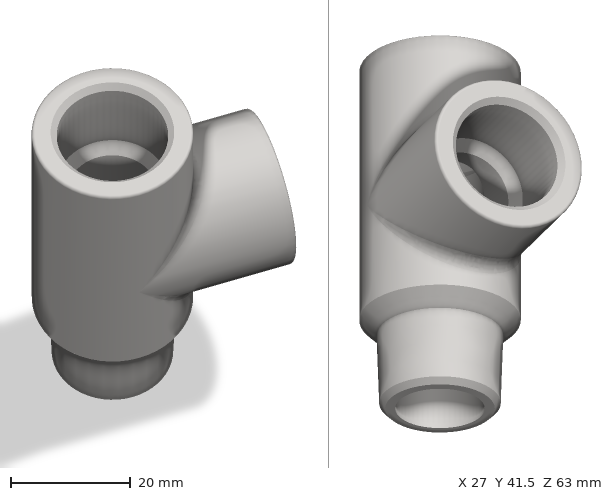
import cadquery as cq

height = 63.0
body_diameter = 27.0
arm_length = 28.0
rim_radius = 0.5
crotch_radius = 2.0

bore_diameter = 15.0
socket_diameter = 18.65
socket_depth = 15.0
mouth_diameter = 20.65

spigot_length = 13.55
spigot_root_diameter = 21.2
spigot_tip_diameter = 20.35
tip_chamfer = 1.0

body_radius = body_diameter / 2
bore_radius = bore_diameter / 2
socket_radius = socket_diameter / 2
mouth_radius = mouth_diameter / 2
spigot_root_radius = spigot_root_diameter / 2
spigot_tip_radius = spigot_tip_diameter / 2
branch_height = height - arm_length
shoulder_height = spigot_length + body_radius - spigot_root_radius

branch_plane = cq.Plane(origin=(0, 0, branch_height), xDir=(1, 0, 0), normal=(0, 1, 0))
run_plane = cq.Plane(origin=(0, 0, branch_height), xDir=(1, 0, 0), normal=(0, 0, 1))


def make_run():
    """Revolve the upright run: tapered male end, conical shoulder, plain body, rounded rim."""
    profile = [
        (0, 0),
        (spigot_tip_radius - tip_chamfer, 0),
        (spigot_tip_radius, tip_chamfer),
        (spigot_root_radius, spigot_length),
        (body_radius, shoulder_height),
        (body_radius, height),
        (0, height),
    ]
    run = cq.Workplane("XZ").polyline(profile).close().revolve(360, (0, 0), (0, 1))
    return run.faces(">Z").edges().fillet(rim_radius)


def make_half_branch():
    """Make the X > 0 half of the branch, filleted into a short piece of the run.

    The fillets shrink to a point on the flank of the tee, so each half is rounded on its own.
    """
    run_reach = branch_height - shoulder_height
    short_run = cq.Workplane(run_plane).circle(body_radius).extrude(run_reach, both=True)
    branch = cq.Workplane(branch_plane).circle(body_radius).extrude(arm_length)
    branch = branch.faces(">Y").edges().fillet(rim_radius)
    positive_x_side = cq.Workplane(run_plane).box(
        2 * body_diameter, 2 * height, 2 * height
    ).translate((body_diameter, 0, 0))
    half_branch = short_run.union(branch).intersect(positive_x_side)
    return half_branch.edges("%ELLIPSE").fillet(crotch_radius)


def make_branch():
    """Join the half branch to a copy of it turned half a revolution about the branch axis."""
    half_branch = make_half_branch()
    opposite_half = half_branch.rotate((0, 0, branch_height), (0, 1, branch_height), 180)
    return half_branch.union(opposite_half)


def make_socket(plane):
    """Revolve one arm's cavity: bore, 45 degree step, socket and bevelled mouth."""
    socket_floor = arm_length - socket_depth
    profile = [
        (0, 0),
        (bore_radius, 0),
        (bore_radius, socket_floor - (socket_radius - bore_radius)),
        (socket_radius, socket_floor),
        (socket_radius, arm_length - (mouth_radius - socket_radius)),
        (mouth_radius, arm_length),
        (0, arm_length),
    ]
    half_section = cq.Plane(origin=plane.origin, xDir=plane.xDir, normal=plane.xDir.cross(plane.zDir))
    return cq.Workplane(half_section).polyline(profile).close().revolve(360, (0, 0), (0, 1))


lower_bore = cq.Workplane("XY").circle(bore_radius).extrude(branch_height)

result = make_run().union(make_branch())
result = result.cut(lower_bore)
for arm_plane in (run_plane, branch_plane):
    result = result.cut(make_socket(arm_plane))
result = result.solids()